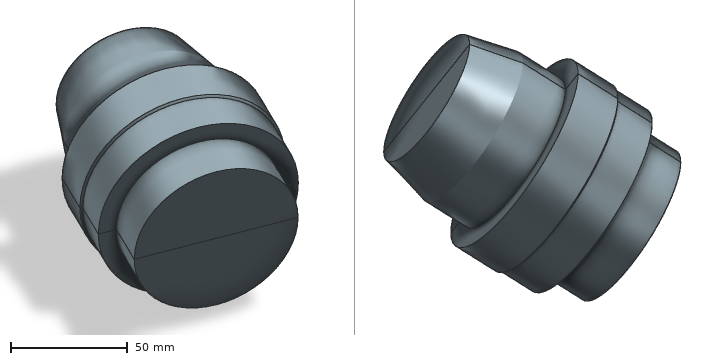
import cadquery as cq

length = 106.5
x_nose = -length / 2
x_back = length / 2
nose_length = 23.9
collar_start = 46.0
collar_end = 66.8
band_start = 67.5
band_end = 85.6

collar_diameter = 94.0
collar_radius = collar_diameter / 2
band_radius = 45.9
barrel_radius = 37.6
nose_radius = 31.7


def half_body(sweep_direction):
    """Half of the stepped round body; +1 sweeps it above Z = 0, -1 below."""
    profile = (
        cq.Workplane("XY")
        .moveTo(x_nose, 0)
        .lineTo(x_nose, nose_radius)
        .lineTo(x_nose + nose_length, barrel_radius)
        .lineTo(x_nose + collar_start, barrel_radius)
        .lineTo(x_nose + collar_start, collar_radius)
        .lineTo(x_nose + collar_end, collar_radius)
        .lineTo(x_nose + band_start, band_radius)
        .lineTo(x_nose + band_end, band_radius)
        .lineTo(x_nose + band_end, barrel_radius)
        .lineTo(x_back, barrel_radius)
        .lineTo(x_back, 0)
        .close()
    )
    return profile.revolve(180, (0, 0, 0), (sweep_direction, 0, 0))


upper_half = half_body(1)
lower_half = half_body(-1)

result = cq.Compound.makeCompound([upper_half.val(), lower_half.val()])